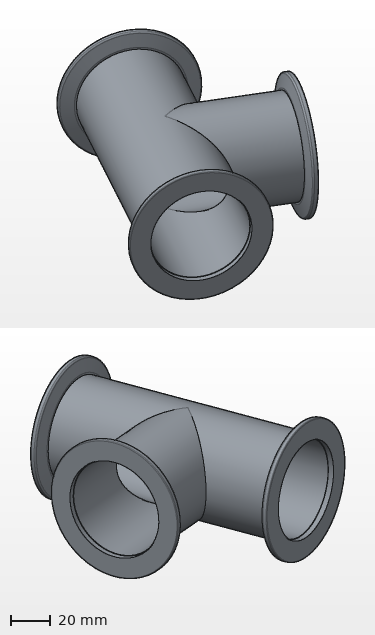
import cadquery as cq
import math

port_reach = 70.0
tube_radius = 28.5
bore_radius = 26.0

flange_radius = 37.5
flange_bore_radius = 26.3
face_round = 0.4
rim_depth = 2.2
rim_round = 1.0
cone_angle = math.radians(15)
cone_end_radius = 29.7
socket_depth = 3.1

left = cq.Vector(-1, 0, 0)
right = cq.Vector(1, 0, 0)
back = cq.Vector(0, 1, 0)


def make_tee():
    """Run and branch tubes joined into one body, with open bores."""
    tube_reach = port_reach - socket_depth

    def tee_shape(radius):
        run = cq.Solid.makeCylinder(radius, 2 * tube_reach, left * tube_reach, right)
        branch = cq.Solid.makeCylinder(radius, tube_reach, cq.Vector(0, 0, 0), back)
        return cq.Workplane(obj=run).union(cq.Workplane(obj=branch))

    return tee_shape(tube_radius).cut(tee_shape(bore_radius))


def round_point(radius, depth, size, angle):
    """Point on a rounded edge, the angle running from the rim toward the axis."""
    return (radius + size * math.cos(angle), depth + size * math.sin(angle))


def make_flange(direction):
    """Clamping flange with a conical back and a socket for the tube end."""
    face_center_radius = flange_radius - face_round
    rim_center_radius = flange_radius - rim_round
    rim_turn = math.pi / 2 - cone_angle
    cone_start = round_point(rim_center_radius, rim_depth, rim_round, rim_turn)
    flange_depth = cone_start[1] + (cone_start[0] - cone_end_radius) * math.tan(cone_angle)

    section = (
        cq.Workplane("XY")
        .moveTo(flange_bore_radius, 0)
        .lineTo(face_center_radius, 0)
        .threePointArc(
            round_point(face_center_radius, face_round, face_round, -math.pi / 4),
            (flange_radius, face_round),
        )
        .lineTo(flange_radius, rim_depth)
        .threePointArc(
            round_point(rim_center_radius, rim_depth, rim_round, rim_turn / 2),
            cone_start,
        )
        .lineTo(cone_end_radius, flange_depth)
        .lineTo(tube_radius, flange_depth)
        .lineTo(tube_radius, socket_depth)
        .lineTo(flange_bore_radius, socket_depth)
        .close()
    )
    flange = section.revolve(360, (0, 0, 0), (0, 1, 0)).val()

    port = cq.Plane(
        origin=(direction * port_reach).toTuple(),
        xDir=(0, 0, 1),
        normal=direction.cross(cq.Vector(0, 0, 1)).toTuple(),
    )
    return flange.moved(cq.Location(port))


tee = make_tee()
flanges = [make_flange(direction) for direction in (left, right, back)]

result = cq.Compound.makeCompound([tee.val(), *flanges])